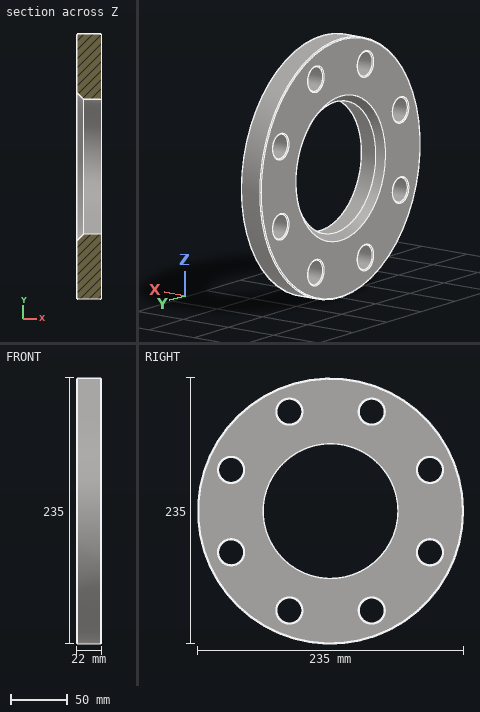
import cadquery as cq

outer_diameter = 235.0
thickness = 22.0
bore_diameter = 119.0
bore_chamfer = 6.0
rim_chamfer = 1.0

bolt_count = 8
bolt_circle_diameter = 190.0
bolt_hole_diameter = 22.0
bolt_hole_chamfer = 1.0
bolt_pitch_angle = 360.0 / bolt_count

near_face = -thickness / 2
far_face = thickness / 2


def make_disc():
    """Solid disc with both rim edges chamfered."""
    disc = cq.Workplane("YZ", origin=(near_face, 0, 0)).circle(outer_diameter / 2).extrude(thickness)
    return disc.edges().chamfer(rim_chamfer)


def make_bore():
    """Cutter for the central bore, with a wide lead-in chamfer on the -X face."""
    bore = cq.Workplane("YZ", origin=(near_face, 0, 0)).circle(bore_diameter / 2).extrude(thickness)
    lead_in = cq.Solid.makeCone(
        bore_diameter / 2 + bore_chamfer,
        bore_diameter / 2,
        bore_chamfer,
        cq.Vector(near_face, 0, 0),
        cq.Vector(1, 0, 0),
    )
    return bore.union(cq.Workplane(lead_in))


def make_bolt_holes():
    """Cutter for the ring of bolt holes, chamfered at both faces."""
    radius = bolt_hole_diameter / 2

    def ring(face):
        return cq.Workplane("YZ", origin=(face, 0, 0)).polarArray(
            bolt_circle_diameter / 2, bolt_pitch_angle / 2, 360, bolt_count
        )

    holes = ring(near_face).circle(radius).extrude(thickness)
    for face, inward in ((near_face, 1), (far_face, -1)):
        cone = cq.Solid.makeCone(
            radius + bolt_hole_chamfer,
            radius,
            bolt_hole_chamfer,
            cq.Vector(0, 0, 0),
            cq.Vector(0, 0, inward),
        )
        holes = holes.union(ring(face).eachpoint(cone, useLocalCoordinates=True))
    return holes


result = make_disc().cut(make_bore()).cut(make_bolt_holes())